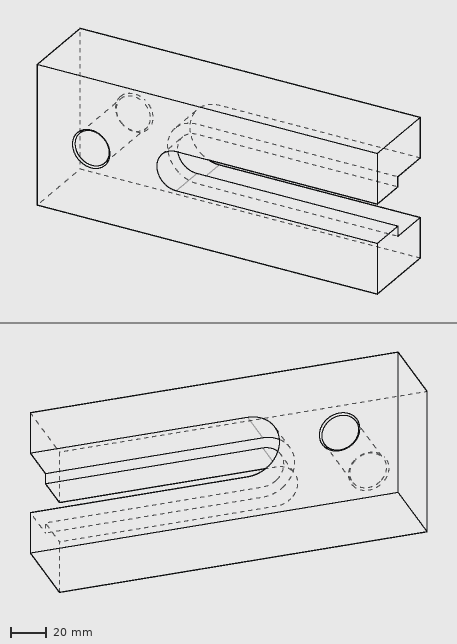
import cadquery as cq

length = 220.0
depth = 50.0
height = 90.0

slot_width = 25.0
slot_center_x = 90.0

step_width = 38.0
step_start_y = 24.0

hole_diameter = 22.0
hole_x = 35.0
hole_chamfer = 1.0

mid_z = height / 2


def make_block():
    """Rectangular block with one corner at the origin."""
    return cq.Workplane("XY").box(length, depth, height, centered=False)


def make_slot(width, start_y):
    """Round-ended slot of the given width, running from start_y to the +Y face."""
    radius = width / 2
    return (
        cq.Workplane("XZ", origin=(0, start_y, 0))
        .moveTo(length, mid_z - radius)
        .lineTo(slot_center_x, mid_z - radius)
        .threePointArc((slot_center_x - radius, mid_z), (slot_center_x, mid_z + radius))
        .lineTo(length, mid_z + radius)
        .close()
        .extrude(start_y - depth)
    )


def make_hole():
    """Hole through the full depth, widened by a 45 degree cone at each face."""
    radius = hole_diameter / 2
    mouth_radius = radius + hole_chamfer
    return (
        cq.Workplane("XY")
        .moveTo(0, 0)
        .lineTo(mouth_radius, 0)
        .lineTo(radius, hole_chamfer)
        .lineTo(radius, depth - hole_chamfer)
        .lineTo(mouth_radius, depth)
        .lineTo(0, depth)
        .close()
        .revolve(360, (0, 0, 0), (0, 1, 0))
        .translate((hole_x, 0, mid_z))
    )


narrow_slot = make_slot(slot_width, 0)
wide_step = make_slot(step_width, step_start_y)

result = make_block().cut(narrow_slot).cut(wide_step).cut(make_hole())